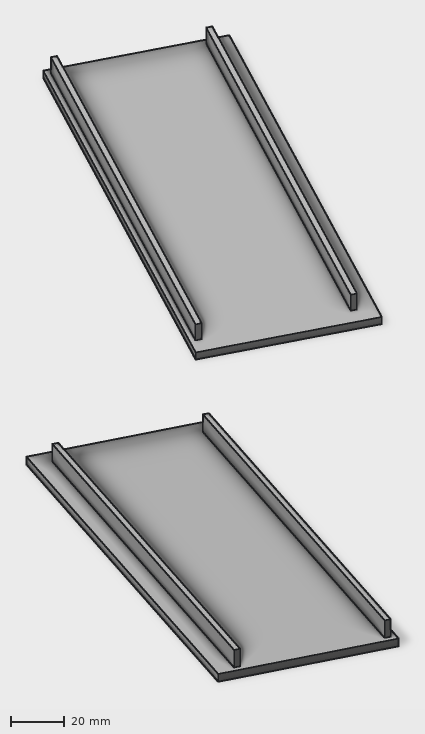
import cadquery as cq

plate_length = 188.0
plate_width = 73.7
plate_thickness = 3.4

overall_height = 10.9
rib_height = overall_height - plate_thickness
rib_length = 178.2
rib_thickness = 2.5
rib_end_gap = 2.5
front_rib_gap = 2.3
back_rib_gap = 7.5


def make_rib(y_start):
    """Straight rib standing on the plate, with its -Y face at y_start."""
    return (
        cq.Workplane("XY")
        .box(rib_length, rib_thickness, rib_height, centered=False)
        .translate((rib_end_gap, y_start, plate_thickness))
    )


result = cq.Workplane("XY").box(plate_length, plate_width, plate_thickness, centered=False)

back_rib_start = plate_width - back_rib_gap - rib_thickness
for rib_start in (front_rib_gap, back_rib_start):
    result = result.union(make_rib(rib_start))